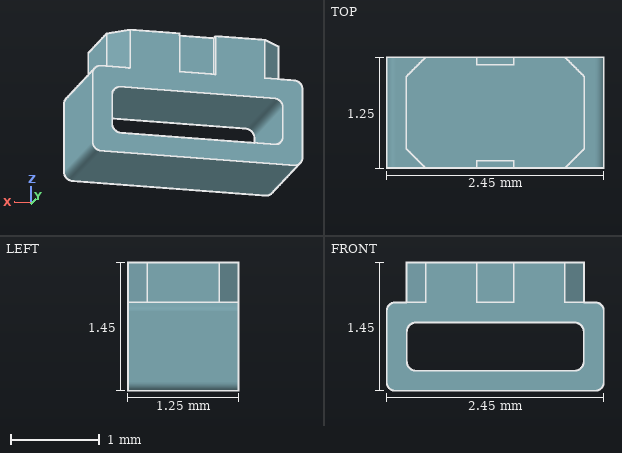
import cadquery as cq

sleeve_width = 2.45
sleeve_height = 1.0
depth = 1.25
wall = 0.23
outer_radius = 0.1
inner_radius = 0.1

head_width = 2.005
head_height = 0.45
corner_cut = 0.218

notch_width = 0.42
notch_depth = 0.085


def rounded_bar(width, height, radius):
    """Bar along Y, centred on the origin, with its long edges rounded."""
    return cq.Workplane("XY").box(width, depth, height).edges("|Y").fillet(radius)


def make_sleeve():
    opening = rounded_bar(sleeve_width - 2 * wall, sleeve_height - 2 * wall, inner_radius)
    sleeve = rounded_bar(sleeve_width, sleeve_height, outer_radius).cut(opening)
    return sleeve.translate((0, 0, sleeve_height / 2))


def make_head():
    head = (
        cq.Workplane("XY", origin=(0, 0, sleeve_height))
        .rect(head_width, depth)
        .extrude(head_height)
        .edges("|Z")
        .chamfer(corner_cut)
    )
    for side in (-1, 1):
        notch = (
            cq.Workplane("XY", origin=(0, side * depth / 2, sleeve_height))
            .rect(notch_width, 2 * notch_depth)
            .extrude(head_height)
        )
        head = head.cut(notch)
    return head


result = make_sleeve().union(make_head())